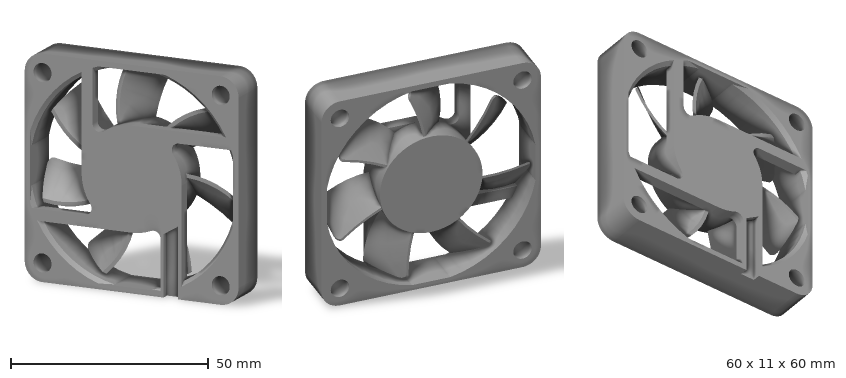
import cadquery as cq
import math

SIDE = 60.0
DEPTH = 11.0
CORNER_RADIUS = 5.05
HOLE_SPACING = 50.0
HOLE_DIAMETER = 5.05

BORE_RADIUS = 29.0
MOUTH_CHAMFER = 1.0
SIDE_WALL = 1.5

HUB_RADIUS = 14.05
PLATE_THICKNESS = 3.0
STRUT_WIDTH = 3.1
CABLE_STRUT_WIDTH = 5.95
NOTCH_RADIUS = 1.9
STRUT_ANGLES = [0, 90, 180, 270]

GROOVE_LEFT = 8.95
GROOVE_RIGHT = 12.95
GROOVE_LEFT_TOP = -13.4
GROOVE_RIGHT_TOP = -10.9
GROOVE_DEPTH = 2.1

BLADE_COUNT = 7
BLADE_FRONT = PLATE_THICKNESS
BLADE_REAR = 10.2
BLADE_TIP_RADIUS = 27.9
BLADE_TIP_ROUND = 1.5
FRONT_THICKNESS = 1.1
REAR_THICKNESS = 0.7
FRONT_LEFT_SIDE = [(-5.05, 11.4), (-5.8, 19.2), (-3.3, 28.8)]
REAR_RIGHT_SIDE = [(1.5, 11.4), (3.85, 21.0), (7.5, 28.8)]


def cylinder(radius, start, end):
    """A cylinder about the Y axis from y = start to y = end."""
    return cq.Workplane("XZ", origin=(0, start, 0)).circle(radius).extrude(start - end)


def turned(shape, angle):
    """The shape turned about the Y axis."""
    return shape.rotate((0, 0, 0), (0, 1, 0), angle)




def make_housing():
    block = cq.Workplane("XZ").rect(SIDE, SIDE).extrude(-DEPTH)
    return block.edges("|Y").fillet(CORNER_RADIUS)


def make_air_passage():
    mouth = cq.Workplane(
        cq.Solid.makeCone(BORE_RADIUS + MOUTH_CHAMFER, BORE_RADIUS, MOUTH_CHAMFER, dir=cq.Vector(0, 1, 0))
    )
    opening = SIDE - 2 * SIDE_WALL
    flats = cq.Workplane("XZ").rect(opening, opening).extrude(-DEPTH)
    return cylinder(BORE_RADIUS, 0, DEPTH).union(mouth).intersect(flats)


def make_strut(width):
    """The bottom strut: its right side is tangent to the round centre, its end sinks into the wall."""
    strut_length = SIDE / 2 - SIDE_WALL / 2
    return (
        cq.Workplane("XZ")
        .moveTo(HUB_RADIUS - width, 0)
        .lineTo(HUB_RADIUS, 0)
        .lineTo(HUB_RADIUS, -strut_length)
        .lineTo(HUB_RADIUS - width, -strut_length)
        .close()
        .extrude(-PLATE_THICKNESS)
    )


def round_notch(plate, width, angle):
    """Round the inside corner between the left side of a strut and the round centre."""
    corner_x = HUB_RADIUS - width
    corner_z = -math.sqrt(HUB_RADIUS**2 - corner_x**2)
    corner = cq.Vertex.makeVertex(corner_x, PLATE_THICKNESS / 2, corner_z)
    position = turned(corner, angle).toTuple()
    return plate.edges(cq.selectors.NearestToPointSelector(position)).fillet(NOTCH_RADIUS)


def make_front_plate():
    plate = cylinder(HUB_RADIUS, 0, PLATE_THICKNESS)
    strut_widths = [CABLE_STRUT_WIDTH] + [STRUT_WIDTH] * (len(STRUT_ANGLES) - 1)
    for width, angle in zip(strut_widths, STRUT_ANGLES):
        plate = plate.union(turned(make_strut(width), angle))
    for width, angle in zip(strut_widths, STRUT_ANGLES):
        plate = round_notch(plate, width, angle)
    return plate


def make_cable_groove():
    """The groove runs down the wide strut and out through the bottom of the housing."""
    return (
        cq.Workplane("XZ")
        .moveTo(GROOVE_LEFT, -SIDE / 2)
        .lineTo(GROOVE_LEFT, GROOVE_LEFT_TOP)
        .lineTo(GROOVE_RIGHT, GROOVE_RIGHT_TOP)
        .lineTo(GROOVE_RIGHT, -SIDE / 2)
        .close()
        .extrude(-GROOVE_DEPTH)
    )


def make_mounting_holes():
    corners = cq.Workplane("XZ").rect(HOLE_SPACING, HOLE_SPACING, forConstruction=True).vertices()
    return corners.circle(HOLE_DIAMETER / 2).extrude(-DEPTH)


def make_frame():
    housing = make_housing().cut(make_air_passage())
    frame = housing.union(make_front_plate())
    return frame.cut(make_cable_groove()).cut(make_mounting_holes())




def shifted(points, distance):
    """The points moved along X."""
    return [(x + distance, z) for x, z in points]


def blade_section(y, left_side, right_side):
    """A closed outline at depth y between two arcs, each given by its root, middle and tip."""
    left_root, left_middle, left_tip = left_side
    right_root, right_middle, right_tip = right_side
    return (
        cq.Workplane("XZ", origin=(0, y, 0))
        .moveTo(*left_root)
        .threePointArc(left_middle, left_tip)
        .lineTo(*right_tip)
        .threePointArc(right_middle, right_root)
        .close()
        .val()
    )


def make_blade():
    """The topmost blade, trimmed to a round tip whose rear corner is rounded off."""
    front_right_side = shifted(FRONT_LEFT_SIDE, FRONT_THICKNESS)
    rear_left_side = shifted(REAR_RIGHT_SIDE, -REAR_THICKNESS)
    front = blade_section(BLADE_FRONT, FRONT_LEFT_SIDE, front_right_side)
    rear = blade_section(BLADE_REAR, rear_left_side, REAR_RIGHT_SIDE)
    blade = cq.Workplane(cq.Solid.makeLoft([front, rear], True))
    envelope = cylinder(BLADE_TIP_RADIUS, BLADE_FRONT, BLADE_REAR)
    return blade.intersect(envelope.faces(">Y").edges().fillet(BLADE_TIP_ROUND))


def make_impeller():
    impeller = cylinder(HUB_RADIUS, PLATE_THICKNESS, DEPTH)
    blade = make_blade()
    for i in range(BLADE_COUNT):
        impeller = impeller.union(turned(blade, i * 360 / BLADE_COUNT))
    return impeller


frame = make_frame().solids()
impeller = make_impeller().solids()
result = cq.Compound.makeCompound([frame.val(), impeller.val()])